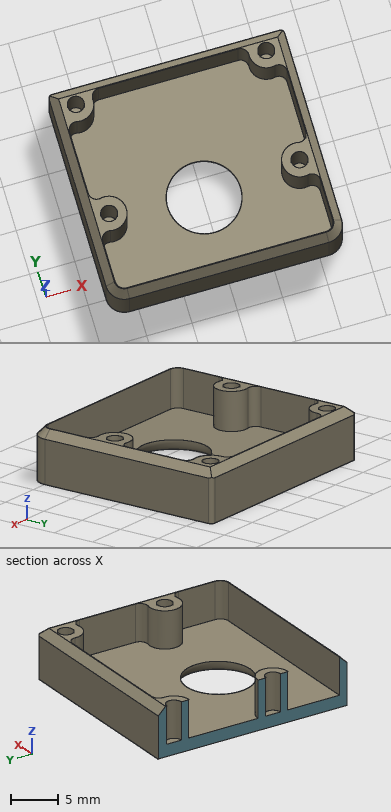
import cadquery as cq
import math

length = 26.0
width = 23.87
height = 6.0
wall = 1.0
floor_thickness = 1.5
rim_chamfer = 0.9
front_corner_radius = 2.0
back_corner_radius = 0.5
cavity_corner_radius = front_corner_radius - wall

boss_radius = 1.9
boss_blend_radius = 0.9
screw_hole_diameter = 1.8
boss_side_offset = 2.5
boss_back_offset = 2.0
boss_pitch_y = 12.5
window_diameter = 8.0
window_setback = 9.45

boss_x = length / 2 - boss_side_offset
back_boss_y = width / 2 - boss_back_offset
front_boss_y = back_boss_y - boss_pitch_y
cavity_depth = height - floor_thickness


def make_body():
    """Block with a chamfered rim; the back corners are rounded across the mitred chamfer."""
    body = (
        cq.Workplane("XY")
        .box(length, width, height, centered=(True, True, False))
        .edges("|Z and <Y")
        .fillet(front_corner_radius)
        .faces(">Z")
        .chamfer(rim_chamfer)
    )
    rounded_back = (
        cq.Workplane("XY")
        .box(length, width, height, centered=(True, True, False))
        .edges("|Z and >Y")
        .fillet(back_corner_radius)
    )
    return body.intersect(rounded_back)


def boss_blank(x, y):
    """Round boss standing on the cavity floor and running into the nearby walls."""
    return (
        cq.Workplane("XY")
        .workplane(offset=floor_thickness)
        .center(x, y)
        .circle(boss_radius)
        .extrude(cavity_depth)
    )


def make_cavity():
    """Open pocket, leaving the bosses standing with blended roots."""
    cavity = (
        cq.Workplane("XY")
        .workplane(offset=floor_thickness)
        .rect(length - 2 * wall, width - 2 * wall)
        .extrude(cavity_depth)
        .edges("|Z and <Y")
        .fillet(cavity_corner_radius)
    )
    for side in (-1, 1):
        cavity = cavity.cut(boss_blank(side * boss_x, back_boss_y))
        cavity = cavity.cut(boss_blank(side * boss_x, front_boss_y))

    wall_x = length / 2 - wall
    back_y = width / 2 - wall
    side_reach = math.sqrt(boss_radius**2 - (wall_x - boss_x) ** 2)
    back_reach = math.sqrt(boss_radius**2 - (back_y - back_boss_y) ** 2)
    roots = [
        (wall_x, back_boss_y - side_reach),
        (wall_x, front_boss_y + side_reach),
        (wall_x, front_boss_y - side_reach),
        (boss_x - back_reach, back_y),
    ]
    middle_z = floor_thickness + cavity_depth / 2
    for x, y in roots:
        for side in (-1, 1):
            root_edge = cq.selectors.NearestToPointSelector((side * x, y, middle_z))
            cavity = cavity.edges("|Z").edges(root_edge).fillet(boss_blend_radius)
    return cavity


screw_holes = (
    cq.Workplane("XY")
    .workplane(offset=floor_thickness)
    .pushPoints([(side * boss_x, y) for side in (-1, 1) for y in (front_boss_y, back_boss_y)])
    .circle(screw_hole_diameter / 2)
    .extrude(cavity_depth)
)

window_y = window_setback - width / 2
window_radius = window_diameter / 2
flare_radius = window_radius + floor_thickness
arc_inset = floor_thickness * math.sqrt(0.5)
window = (
    cq.Workplane("XZ")
    .lineTo(flare_radius, 0)
    .threePointArc((flare_radius - arc_inset, floor_thickness - arc_inset), (window_radius, floor_thickness))
    .lineTo(0, floor_thickness)
    .close()
    .revolve(360, (0, 0), (0, 1))
    .translate((0, window_y, 0))
)

result = make_body().cut(make_cavity()).cut(screw_holes).cut(window)